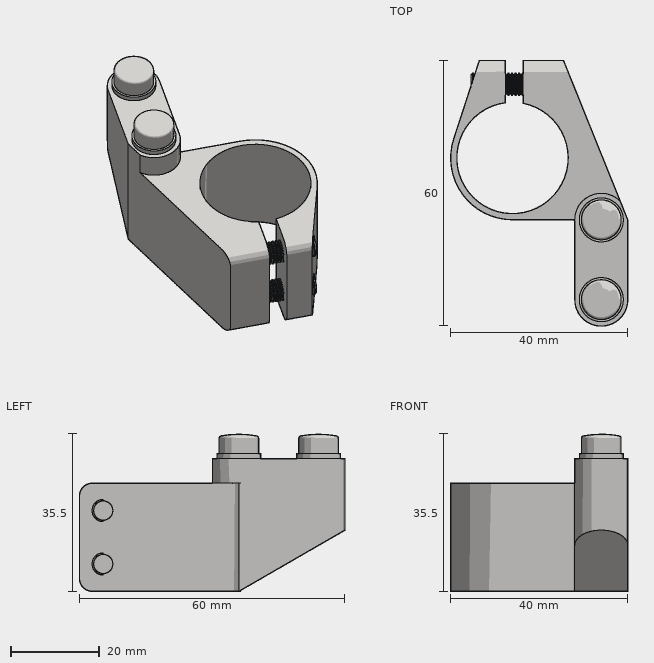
import cadquery as cq
import math


bore_radius = 12.55
ring_radius = 14.0
clamp_height = 24.5
back_y = 22.0
left_ear_x = -7.5
right_ear_x = 11.5
ear_fillet = 3.0
slot_width = 4.0
slot_centre_x = 0.4

arm_radius = 6.0
arm_height = 30.0
arm_x = 20.05
rear_button_y = -ring_radius
front_button_y = rear_button_y - 18.0
arm_slope = 30.0
corner_fillet = 0.35

flange_radius = 5.0
flange_height = 1.15
cap_radius = 4.5
button_height = 5.5
dome_rise = 0.5
cap_fillet = 0.6

screw_radius = 2.5
thread_depth = 0.35
grooved_length = 19.2
groove_count = 24
tip_chamfer_length = 0.4
screw_tip_x = -9.4
screw_y = 16.6
screw_spacing = 12.05
screw_heights = [clamp_height / 2 + side * screw_spacing / 2 for side in (-1, 1)]

thread_pitch = grooved_length / groove_count
root_radius = screw_radius - thread_depth
arm_right_x = arm_x + arm_radius


def ring_tangent_point():
    """Point where the left flank, from the left ear corner, touches the ring."""
    distance = math.hypot(left_ear_x, back_y)
    angle = math.atan2(back_y, left_ear_x) + math.acos(ring_radius / distance)
    return ring_radius * math.cos(angle), ring_radius * math.sin(angle)


def make_clamp_block():
    """Ring, ears and web as one block, with the ears rounded at the back."""
    block = (
        cq.Workplane("XY")
        .moveTo(left_ear_x, back_y)
        .lineTo(*ring_tangent_point())
        .threePointArc(
            (-ring_radius * math.cos(math.pi / 4), -ring_radius * math.sin(math.pi / 4)),
            (0, -ring_radius),
        )
        .lineTo(arm_right_x, -ring_radius)
        .lineTo(right_ear_x, back_y)
        .close()
        .extrude(clamp_height)
    )
    return block.faces(">Y").edges("|X").fillet(ear_fillet)


def make_arm():
    """Upright slot-shaped arm whose underside rises towards the front.

    Its rear right side is cut flush with the right flank of the clamp.
    """
    length = rear_button_y - front_button_y
    arm = (
        cq.Workplane("XY")
        .center(arm_x, (rear_button_y + front_button_y) / 2)
        .slot2D(length + 2 * arm_radius, 2 * arm_radius, 90)
        .extrude(arm_height)
    )
    run = length + arm_radius
    wedge = (
        cq.Workplane("YZ")
        .moveTo(rear_button_y, 0)
        .lineTo(rear_button_y - run, 0)
        .lineTo(rear_button_y - run, run * math.tan(math.radians(arm_slope)))
        .close()
        .extrude(arm_right_x)
    )
    flank_overhang = (
        cq.Workplane("XY")
        .moveTo(arm_right_x, rear_button_y)
        .lineTo(right_ear_x, back_y)
        .lineTo(arm_right_x, back_y)
        .close()
        .extrude(arm_height)
    )
    return arm.cut(wedge).cut(flank_overhang)


def make_corner_fillet():
    """Small concave fillet in the corner between the ring's front and the arm."""
    corner_x = arm_x - arm_radius
    corner_y = -ring_radius
    middle = corner_fillet * (1 - math.sqrt(0.5))
    return (
        cq.Workplane("XY")
        .moveTo(corner_x, corner_y)
        .lineTo(corner_x - corner_fillet, corner_y)
        .threePointArc(
            (corner_x - middle, corner_y - middle),
            (corner_x, corner_y - corner_fillet),
        )
        .close()
        .extrude(clamp_height)
    )


def make_screw(height):
    """Headless screw along X with a chamfered tip and ring-shaped threads."""
    flat_width = flank_width = thread_pitch / 4
    crest_x = screw_tip_x + tip_chamfer_length
    profile = (
        cq.Workplane("XY")
        .moveTo(screw_tip_x, 0)
        .lineTo(screw_tip_x, root_radius)
        .lineTo(crest_x, screw_radius)
    )
    for groove in range(groove_count):
        groove_x = crest_x + groove * thread_pitch + flat_width
        root_x = groove_x + flank_width
        profile = (
            profile.lineTo(groove_x, screw_radius)
            .lineTo(root_x, root_radius)
            .lineTo(root_x + flat_width, root_radius)
            .lineTo(root_x + flat_width + flank_width, screw_radius)
        )
    end_x = crest_x + grooved_length + flat_width
    profile = profile.lineTo(end_x, screw_radius).lineTo(end_x, 0).close()
    screw = profile.revolve(360, (0, 0, 0), (1, 0, 0))
    return screw.translate((0, screw_y, height))


def make_screw_mouth(height):
    """Plain hole that opens the tapped hole through the left flank."""
    return (
        cq.Workplane("YZ", origin=(-ring_radius, screw_y, height))
        .circle(root_radius)
        .extrude(screw_tip_x + ring_radius)
    )


def make_clamp():
    clamp = make_clamp_block().union(make_arm()).union(make_corner_fillet())
    bore = cq.Workplane("XY").circle(bore_radius).extrude(clamp_height)
    slot = (
        cq.Workplane("XY")
        .center(slot_centre_x, back_y / 2)
        .rect(slot_width, back_y)
        .extrude(clamp_height)
    )
    clamp = clamp.cut(bore).cut(slot)
    for height in screw_heights:
        clamp = clamp.cut(make_screw(height)).cut(make_screw_mouth(height))
    return clamp


def make_button(y):
    """Flanged button with a shallow domed top, standing on the arm."""
    rim_height = button_height - dome_rise
    dome_radius = (cap_radius**2 + dome_rise**2) / (2 * dome_rise)
    half_angle = math.asin(cap_radius / dome_radius) / 2
    dome_middle = (
        dome_radius * math.sin(half_angle),
        button_height - dome_radius * (1 - math.cos(half_angle)),
    )
    button = (
        cq.Workplane("XZ")
        .lineTo(flange_radius, 0)
        .lineTo(flange_radius, flange_height)
        .lineTo(cap_radius, flange_height)
        .lineTo(cap_radius, rim_height)
        .threePointArc(dome_middle, (0, button_height))
        .close()
        .revolve(360, (0, 0, 0), (0, 1, 0))
    )
    rim = cq.selectors.NearestToPointSelector((0, 0, rim_height))
    return button.edges(rim).fillet(cap_fillet).translate((arm_x, y, arm_height))


clamp = make_clamp()
buttons = [make_button(y) for y in (rear_button_y, front_button_y)]
screws = [make_screw(height) for height in screw_heights]

result = cq.Compound.makeCompound(
    [clamp.val()] + [button.val() for button in buttons] + [screw.val() for screw in screws]
)